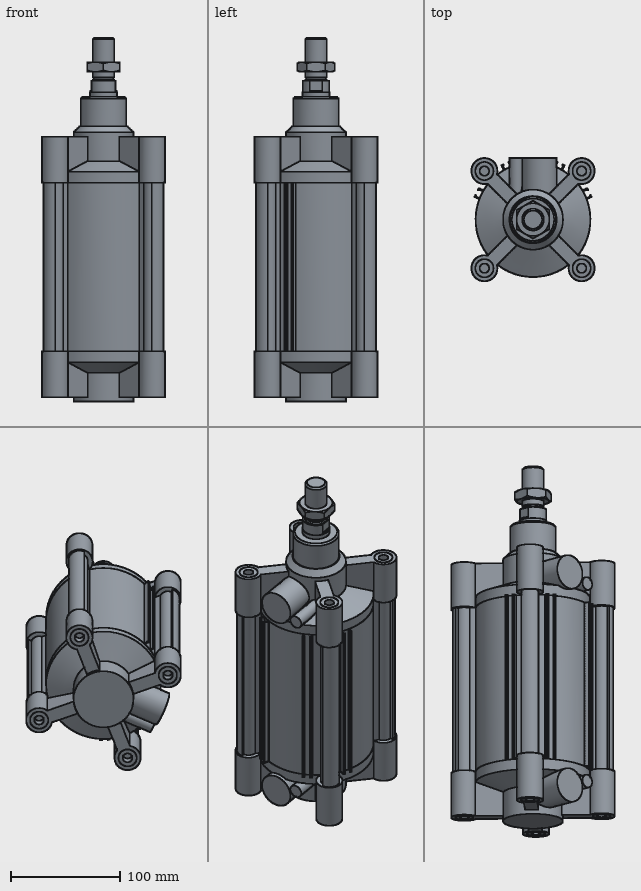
import cadquery as cq
import math

TOTAL_LENGTH = 333.0
SPIGOT_LENGTH = 4.0
CAP_HEIGHT = 42.0
BARREL_LENGTH = 154.5
BARREL_BOTTOM = SPIGOT_LENGTH + CAP_HEIGHT
BARREL_TOP = BARREL_BOTTOM + BARREL_LENGTH

OUTER_WIDTH = 113.0
BOSS_DIAMETER = 24.0
CORNER_OFFSET = (OUTER_WIDTH - BOSS_DIAMETER) / 2
CORNER_RADIUS = CORNER_OFFSET * math.sqrt(2)
CORNER_ANGLES = [45, 135, 225, 315]

CAP_DIAMETER = 105.2
PLATE_THICKNESS = 10.0
CONE_HEIGHT = 9.5
HUB_DIAMETER = 55.0
RIB_WIDTH = 12.3
SCREW_RECESS_DIAMETER = 16.5
SCREW_RECESS_DEPTH = 0.3
SCREW_HOLE_DIAMETER = 8.5
SCREW_HOLE_DEPTH = 10.0

BOSS_END_Y = OUTER_WIDTH / 2
PORT_DIAMETER = 31.3
PORT_X = 6.0
PORT_HEIGHT = 23.3
CUSHION_DIAMETER = 12.0
CUSHION_X = -15.5
CUSHION_HEIGHT = 16.0

HUB_RISE = 4.0
SHOULDER_HEIGHT = 5.5
SHOULDER_TOP_DIAMETER = 43.3
NECK_DIAMETER = 42.0
NECK_HEIGHT = 26.5
NECK_CHAMFER = 1.5

BORE_DIAMETER = 100.0
LOBE_DIAMETER = 15.5
LOBE_CREST_RADIUS = 10.5
LOBE_CREST_ANGLE = 92
WEB_WIDTH = 12.0

RAIL_LOBE_ANGLES = [45, 135]
RAIL_SPREAD_ANGLE = 19.3
RAIL_WIDTH = 9.0
RAIL_WALL = 1.0
RAIL_OUTER_RADIUS = 57.3
RAIL_OPENING = 5.0

ROD_DIAMETER = 25.0
ROD_COLLAR_TOP = 283.0
FLATS_DIAMETER = 24.5
FLATS_BOTTOM = 284.5
FLATS_TOP = 293.7
FLATS_WIDTH = 22.0
UNDERCUT_DIAMETER = 18.0
UNDERCUT_FLARE = 1.3
THREAD_BOTTOM = 296.7
THREAD_DIAMETER = 20.0
THREAD_CHAMFER = 1.5

NUT_SIDES = 6
NUT_WIDTH = 30.0
NUT_HEIGHT = 9.0
NUT_BOTTOM = 301.7
NUT_FACE_DIAMETER = 30.0
NUT_CHAMFER_ANGLE = 30


def corner_point(angle):
    """Plan position of the corner screw that lies in the given direction."""
    direction = math.radians(angle)
    return CORNER_RADIUS * math.cos(direction), CORNER_RADIUS * math.sin(direction)


def disc(diameter, bottom, height):
    """Upright cylinder on the Z axis."""
    return cq.Workplane("XY").workplane(offset=bottom).circle(diameter / 2).extrude(height)


def side_boss(diameter, x, height):
    """Round boss running from the XZ plane out to the +Y side of a cap."""
    return cq.Workplane("XZ").center(x, height).circle(diameter / 2).extrude(-BOSS_END_Y)


def make_cap(hub_height):
    """Cap with its mating face on Z = 0, its corner bosses upward and a hub of the given height."""
    hub_radius = HUB_DIAMETER / 2
    cap_radius = CAP_DIAMETER / 2
    cap = (
        cq.Workplane("XZ")
        .moveTo(0, 0)
        .lineTo(cap_radius, 0)
        .lineTo(cap_radius, PLATE_THICKNESS)
        .lineTo(hub_radius, PLATE_THICKNESS + CONE_HEIGHT)
        .lineTo(hub_radius, hub_height)
        .lineTo(0, hub_height)
        .close()
        .revolve(360, (0, 0, 0), (0, 1, 0))
    )
    for angle in CORNER_ANGLES:
        rib = cq.Workplane("XY").rect(CORNER_RADIUS, RIB_WIDTH).extrude(CAP_HEIGHT)
        rib = rib.translate((CORNER_RADIUS / 2, 0, 0)).rotate((0, 0, 0), (0, 0, 1), angle)
        boss = disc(BOSS_DIAMETER, 0, CAP_HEIGHT).translate((*corner_point(angle), 0))
        cap = cap.union(rib).union(boss)

    cap = cap.union(side_boss(PORT_DIAMETER, PORT_X, PORT_HEIGHT))
    cap = cap.union(side_boss(CUSHION_DIAMETER, CUSHION_X, CUSHION_HEIGHT))

    screw_socket = disc(SCREW_RECESS_DIAMETER, CAP_HEIGHT - SCREW_RECESS_DEPTH, SCREW_RECESS_DEPTH)
    screw_socket = screw_socket.union(
        disc(SCREW_HOLE_DIAMETER, CAP_HEIGHT - SCREW_HOLE_DEPTH, SCREW_HOLE_DEPTH)
    )
    for angle in CORNER_ANGLES:
        cap = cap.cut(screw_socket.translate((*corner_point(angle), 0)))
    return cap


def make_rear_cap():
    """Rear cap: the hub ends in a short spigot below the corner bosses."""
    cap = make_cap(CAP_HEIGHT + SPIGOT_LENGTH)
    return cap.mirror("XY").translate((0, 0, BARREL_BOTTOM))


def make_head_cap():
    """Head cap: the hub carries a conical shoulder and a neck that guides the rod."""
    shoulder_bottom = CAP_HEIGHT + HUB_RISE
    neck_bottom = shoulder_bottom + SHOULDER_HEIGHT
    shoulder = (
        cq.Workplane("XY")
        .workplane(offset=shoulder_bottom)
        .circle(HUB_DIAMETER / 2)
        .workplane(offset=SHOULDER_HEIGHT)
        .circle(SHOULDER_TOP_DIAMETER / 2)
        .loft()
    )
    neck = disc(NECK_DIAMETER, neck_bottom, NECK_HEIGHT).faces(">Z").chamfer(NECK_CHAMFER)
    rod_hole = disc(ROD_DIAMETER, 0, neck_bottom + NECK_HEIGHT)
    cap = make_cap(shoulder_bottom).union(shoulder).union(neck).cut(rod_hole)
    return cap.translate((0, 0, BARREL_TOP))


def make_lobe():
    """Corner lobe along +X: a radial web, a round core and a wider crest facing outward."""
    web = cq.Workplane("XY").rect(CORNER_RADIUS, WEB_WIDTH).extrude(BARREL_LENGTH)
    web = web.translate((CORNER_RADIUS / 2, 0, 0))
    core = disc(LOBE_DIAMETER, 0, BARREL_LENGTH).translate((CORNER_RADIUS, 0, 0))
    half_angle = math.radians(LOBE_CREST_ANGLE / 2)
    crest_x = CORNER_RADIUS + LOBE_CREST_RADIUS * math.cos(half_angle)
    crest_y = LOBE_CREST_RADIUS * math.sin(half_angle)
    crest = (
        cq.Workplane("XY")
        .moveTo(CORNER_RADIUS, 0)
        .lineTo(crest_x, -crest_y)
        .threePointArc((CORNER_RADIUS + LOBE_CREST_RADIUS, 0), (crest_x, crest_y))
        .close()
        .extrude(BARREL_LENGTH)
    )
    return web.union(core).union(crest)


def make_rail():
    """Sensor rail along +X: two side walls rising from the barrel with lips turned inward."""
    rail = cq.Workplane("XY").rect(RAIL_OUTER_RADIUS, RAIL_WIDTH).extrude(BARREL_LENGTH)
    channel_length = RAIL_OUTER_RADIUS - RAIL_WALL
    channel = cq.Workplane("XY").rect(channel_length, RAIL_WIDTH - 2 * RAIL_WALL).extrude(BARREL_LENGTH)
    opening = cq.Workplane("XY").rect(RAIL_OUTER_RADIUS, RAIL_OPENING).extrude(BARREL_LENGTH)
    rail = rail.translate((RAIL_OUTER_RADIUS / 2, 0, 0))
    rail = rail.cut(channel.translate((channel_length / 2, 0, 0)))
    return rail.cut(opening.translate((RAIL_OUTER_RADIUS / 2, 0, 0)))


def make_barrel():
    """Tube with a lobe at each corner and four sensor rails."""
    barrel = disc(CAP_DIAMETER, 0, BARREL_LENGTH)
    lobe = make_lobe()
    for angle in CORNER_ANGLES:
        barrel = barrel.union(lobe.rotate((0, 0, 0), (0, 0, 1), angle))
    rail = make_rail()
    for lobe_angle in RAIL_LOBE_ANGLES:
        for spread in (-RAIL_SPREAD_ANGLE, RAIL_SPREAD_ANGLE):
            barrel = barrel.union(rail.rotate((0, 0, 0), (0, 0, 1), lobe_angle + spread))
    barrel = barrel.cut(disc(BORE_DIAMETER, 0, BARREL_LENGTH))
    return barrel.translate((0, 0, BARREL_BOTTOM))


def make_rod():
    """Rod with two wrench flats, a flared undercut and a plain cylindrical threaded end."""
    rod_radius = ROD_DIAMETER / 2
    flats_radius = FLATS_DIAMETER / 2
    undercut_radius = UNDERCUT_DIAMETER / 2
    thread_radius = THREAD_DIAMETER / 2
    rod = (
        cq.Workplane("XZ")
        .moveTo(0, BARREL_TOP)
        .lineTo(rod_radius, BARREL_TOP)
        .lineTo(rod_radius, ROD_COLLAR_TOP)
        .lineTo(flats_radius, ROD_COLLAR_TOP)
        .lineTo(flats_radius, FLATS_TOP)
        .lineTo(undercut_radius + UNDERCUT_FLARE, FLATS_TOP)
        .lineTo(undercut_radius, FLATS_TOP + UNDERCUT_FLARE)
        .lineTo(undercut_radius, THREAD_BOTTOM)
        .lineTo(thread_radius, THREAD_BOTTOM)
        .lineTo(thread_radius, TOTAL_LENGTH - THREAD_CHAMFER)
        .lineTo(thread_radius - THREAD_CHAMFER, TOTAL_LENGTH)
        .lineTo(0, TOTAL_LENGTH)
        .close()
        .revolve(360, (0, 0, 0), (0, 1, 0))
    )
    flats_height = FLATS_TOP - FLATS_BOTTOM
    flats_ring = disc(ROD_DIAMETER, FLATS_BOTTOM, flats_height)
    flats_core = cq.Workplane("XY").workplane(offset=FLATS_BOTTOM)
    flats_core = flats_core.rect(FLATS_WIDTH, ROD_DIAMETER).extrude(flats_height)
    return rod.cut(flats_ring.cut(flats_core))


def make_nut():
    """Hexagon nut with flats facing +X and -X and both ends chamfered at the corners."""
    corner_diameter = NUT_WIDTH / math.cos(math.pi / NUT_SIDES)
    hexagon = cq.Workplane("XY").polygon(NUT_SIDES, corner_diameter).extrude(NUT_HEIGHT)
    hexagon = hexagon.rotate((0, 0, 0), (0, 0, 1), 90)
    radial_chamfer = (corner_diameter - NUT_FACE_DIAMETER) / 2
    axial_chamfer = radial_chamfer * math.tan(math.radians(NUT_CHAMFER_ANGLE))
    corner_limit = disc(corner_diameter, 0, NUT_HEIGHT)
    corner_limit = corner_limit.faces("<Z or >Z").chamfer(axial_chamfer, radial_chamfer)
    nut = hexagon.intersect(corner_limit).cut(disc(THREAD_DIAMETER, 0, NUT_HEIGHT))
    return nut.translate((0, 0, NUT_BOTTOM))


rear_cap = make_rear_cap()
barrel = make_barrel()
head_cap = make_head_cap()
rod = make_rod()
nut = make_nut()

result = cq.Compound.makeCompound([rear_cap.val(), barrel.val(), head_cap.val(), rod.val(), nut.val()])